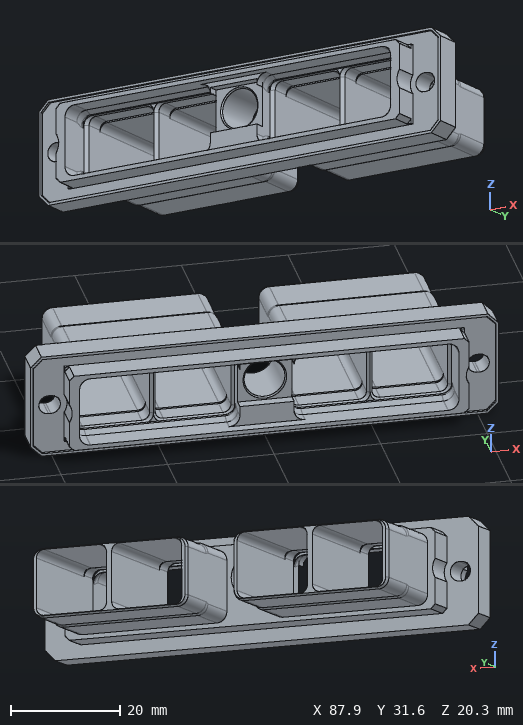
import cadquery as cq

flange_width = 87.9
flange_height = 20.3
flange_corner = 2.0
flange_thickness = 5.1
rim_width = 0.5
rim_depth = 0.5

housing_width = 75.05
housing_height = 15.2
housing_corner = 0.9
lip_length = 3.95
base_length = 5.0
total_length = 31.55

slot_x = 40.25
slot_width = 4.0
slot_height = 3.6
clearance_radius = 3.25

cavity_width = 71.2
cavity_height = 13.5
cavity_radius = 2.0
block_width = 10.2
block_depth = 1.9

recess_height = 8.7
recess_depth = 3.9
hole_diameter = 7.65
hole_chamfer = 0.3
hole_z = 1.5

catch_start = 3.95
catch_ramp = 1.5
catch_land = 0.5
catch_height = 0.5

cell_side_inset = 0.5
cell_floor_inset = 0.35
mouth_depth = 6.4
mouth_length = 0.9
cell_step_depth = 11.0
cell_step = 0.3

sleeve_width = 31.3
sleeve_height = 13.5
sleeve_tip_height = 13.0
sleeve_radius = 2.0
sleeve_step_depth = 22.2
sleeve_step_length = 0.8
tip_length = 0.8
tip_inset = 0.3

flange_depth = lip_length
base_end = lip_length + flange_thickness + base_length
bay_width = (cavity_width - block_width) / 2
bay_x = (cavity_width + block_width) / 4
cell_pitch = bay_width / 2
mouth_end = mouth_depth + mouth_length
mount_points = [(-slot_x, 0), (slot_x, 0)]


def plane_at(depth, x=0.0, z=0.0):
    """Work plane facing +Y; its local x runs along +X and its local y along -Z."""
    return cq.Workplane(cq.Plane(origin=(x, depth, z), xDir=(1, 0, 0), normal=(0, 1, 0)))


def block(width, height, start, end, x=0.0, z=0.0):
    return plane_at(start, x, z).rect(width, height).extrude(end - start)


def rounded_block(width, height, radius, start, end, x=0.0):
    return block(width, height, start, end, x).edges("|Y").fillet(radius)


def chamfered_block(width, height, corner, start, end):
    return block(width, height, start, end).edges("|Y").chamfer(corner)


def taper(start_size, end_size, start_radius, end_radius, start, end, x):
    """Solid between two rounded rectangles on the same centre line."""
    first = cq.Sketch().rect(*start_size).vertices().fillet(start_radius)
    last = cq.Sketch().rect(*end_size).vertices().fillet(end_radius)
    offset = cq.Location(cq.Vector(0, 0, end - start))
    return plane_at(start, x).placeSketch(first, last.moved(offset)).loft(ruled=True)


def make_flange():
    end = flange_depth + flange_thickness
    plate = chamfered_block(flange_width, flange_height, flange_corner, flange_depth, end)
    sunk_outline = plate.faces("<Y").wires().toPending().offset2D(-rim_width, forConstruction=False)
    return plate.cut(sunk_outline.extrude(rim_depth, combine=False))


def make_housing():
    """Housing block, square-cornered where it fills the sunk face of the flange."""
    housing = chamfered_block(housing_width, housing_height, housing_corner, 0, base_end)
    foot = block(housing_width, housing_height, flange_depth, flange_depth + rim_depth)
    grooves = plane_at(0).pushPoints(mount_points).circle(clearance_radius).extrude(base_end)
    return housing.union(foot).cut(grooves)


def make_sleeve(x):
    step_end = sleeve_step_depth + sleeve_step_length
    tip_start = total_length - tip_length
    full = (sleeve_width, sleeve_height)
    reduced = (sleeve_width, sleeve_tip_height)
    tip = (sleeve_width - 2 * tip_inset, sleeve_tip_height - 2 * tip_inset)
    tip_radius = sleeve_radius - tip_inset
    sleeve = rounded_block(*full, sleeve_radius, mouth_end, sleeve_step_depth, x)
    sleeve = sleeve.union(taper(full, reduced, sleeve_radius, sleeve_radius, sleeve_step_depth, step_end, x))
    sleeve = sleeve.union(rounded_block(*reduced, sleeve_radius, step_end, tip_start, x))
    return sleeve.union(taper(reduced, tip, sleeve_radius, tip_radius, tip_start, total_length, x))


def make_bay(x):
    """Open space of one bay, narrowed in height by the catches on its floor and ceiling."""
    full = (bay_width, cavity_height)
    narrowed = (bay_width, cavity_height - 2 * catch_height)
    crest_start = catch_start + catch_ramp
    crest_end = crest_start + catch_land
    bay = rounded_block(*full, cavity_radius, 0, catch_start, x)
    bay = bay.union(taper(full, narrowed, cavity_radius, cavity_radius, catch_start, crest_start, x))
    bay = bay.union(rounded_block(*narrowed, cavity_radius, crest_start, crest_end, x))
    return bay.union(rounded_block(*full, cavity_radius, crest_end, mouth_depth, x))


def make_cell(x):
    """Open space of one cell, from its tapered mouth through its step to the rear end."""
    mouth = (cell_pitch, cavity_height)
    inside = (cell_pitch - 2 * cell_side_inset, cavity_height - 2 * cell_floor_inset)
    inside_radius = cavity_radius - cell_side_inset
    cell = taper(mouth, inside, cavity_radius, inside_radius, mouth_depth, mouth_end, x)
    cell = cell.union(rounded_block(*inside, inside_radius, mouth_end, cell_step_depth, x))
    reduced = (inside[0], inside[1] - 2 * cell_step)
    return cell.union(rounded_block(*reduced, inside_radius, cell_step_depth, total_length, x))


def make_middle_opening():
    """Recess in the middle block and the chamfered hole behind it."""
    recess = block(block_width, recess_height, 0, recess_depth, z=hole_z)
    radius = hole_diameter / 2
    hole = plane_at(recess_depth, z=hole_z).circle(radius).extrude(base_end - recess_depth)
    rim = plane_at(recess_depth, z=hole_z).circle(radius + hole_chamfer)
    rim = rim.workplane(offset=hole_chamfer).circle(radius).loft()
    return recess.union(hole).union(rim)


def make_mounting_slots():
    slots = plane_at(flange_depth).pushPoints(mount_points)
    return slots.slot2D(slot_width, slot_height).extrude(flange_thickness)


body = make_flange().union(make_housing())
for bay_center in (-bay_x, bay_x):
    body = body.union(make_sleeve(bay_center))

body = body.cut(rounded_block(cavity_width, cavity_height, cavity_radius, 0, block_depth))
for bay_center in (-bay_x, bay_x):
    body = body.cut(make_bay(bay_center))
    for cell_center in (bay_center - cell_pitch / 2, bay_center + cell_pitch / 2):
        body = body.cut(make_cell(cell_center))
body = body.cut(make_middle_opening()).cut(make_mounting_slots())

result = cq.Workplane(body.solids().val())